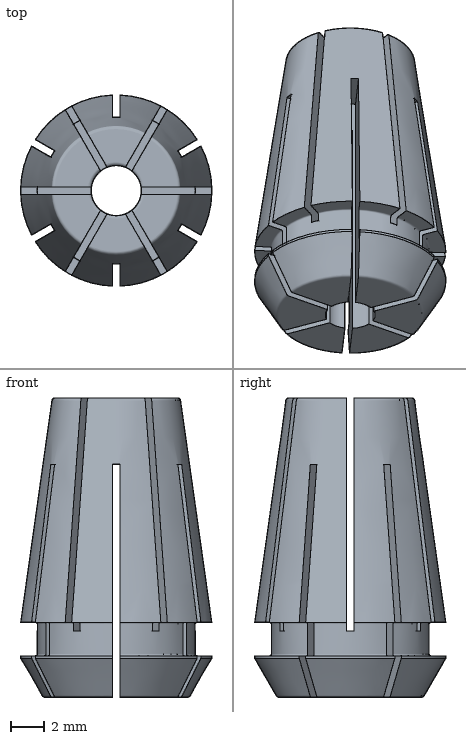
import cadquery as cq
import math

total_height = 18.0
groove_bottom_z = 2.5
groove_top_z = 4.5

outer_radius = 11.5 / 2
groove_radius = 9.5 / 2
bore_radius = 3.0 / 2
taper_angle = 8.0
nose_angle = 30.0
rim_height = 0.15
edge_round = 0.2
groove_round = 0.1

slot_width = 0.45
cuts_per_end = 3
cut_spacing = 180.0 / cuts_per_end
lower_slot_top_z = 14.0
upper_slot_bottom_z = 4.0
slot_overrun = 0.5
slot_length = 2 * (outer_radius + slot_overrun)

pick_tolerance = 0.01

top_radius = outer_radius - (total_height - groove_top_z) * math.tan(math.radians(taper_angle))
rim_bottom_z = groove_bottom_z - rim_height
bottom_radius = outer_radius - rim_bottom_z * math.tan(math.radians(nose_angle))


def ring_selector(radius, z):
    """Select the circular edge of the given radius and height about Z."""
    outer = radius + pick_tolerance
    inner = radius - pick_tolerance
    low = z - pick_tolerance
    high = z + pick_tolerance
    within_outer = cq.selectors.BoxSelector((-outer, -outer, low), (outer, outer, high), boundingbox=True)
    within_inner = cq.selectors.BoxSelector((-inner, -inner, low), (inner, inner, high), boundingbox=True)
    return within_outer - within_inner


def make_body():
    """Revolve the collet profile, then round its edges."""
    profile = (
        cq.Workplane("XZ")
        .moveTo(bore_radius, 0)
        .lineTo(bottom_radius, 0)
        .lineTo(outer_radius, rim_bottom_z)
        .lineTo(outer_radius, groove_bottom_z)
        .lineTo(groove_radius, groove_bottom_z)
        .lineTo(groove_radius, groove_top_z)
        .lineTo(outer_radius, groove_top_z)
        .lineTo(top_radius, total_height)
        .lineTo(bore_radius, total_height)
        .close()
    )
    body = profile.revolve(360, (0, 0, 0), (0, 1, 0))
    body = body.faces(">Z").edges().fillet(edge_round)
    body = body.edges(ring_selector(bottom_radius, 0)).fillet(edge_round)
    for corner_z in (groove_bottom_z, groove_top_z):
        body = body.edges(ring_selector(groove_radius, corner_z)).fillet(groove_round)
    return body


def make_cut(bottom_z, top_z, angle):
    """Blade through the axis between two heights, turned about Z."""
    return (
        cq.Workplane("XY")
        .workplane(offset=bottom_z)
        .rect(slot_length, slot_width)
        .extrude(top_z - bottom_z)
        .rotate((0, 0, 0), (0, 0, 1), angle)
    )


result = make_body()
for cut_number in range(cuts_per_end):
    upper_angle = cut_number * cut_spacing
    lower_angle = upper_angle + cut_spacing / 2
    result = result.cut(make_cut(upper_slot_bottom_z, total_height, upper_angle))
    result = result.cut(make_cut(0, lower_slot_top_z, lower_angle))